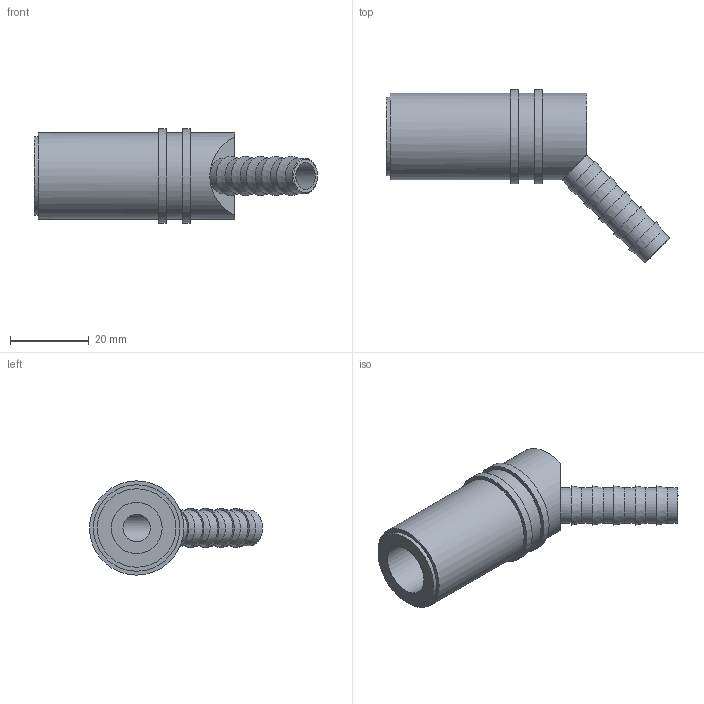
import cadquery as cq
import math

housing_radius = 11.0
housing_length = 51.0
lip_radius = 10.0
lip_length = 1.0
socket_radius = 6.5
socket_depth = 30.0
bore_radius = 3.5

elbow_x = 40.0
tail_angle = 45.0
tail_radius = 4.5
tail_end = 41.0
tip_chamfer = 0.2
barb_radius = 5.0
barb_count = 5

ring_radius = 12.0
ring_width = 1.9
ring_pitch = 6.1
first_ring_x = 31.6
ring_count = 2

tail_x = math.cos(math.radians(tail_angle))
tail_y = -math.sin(math.radians(tail_angle))
tail_base = (housing_radius - tail_radius * tail_x) / -tail_y

stretch = (tail_end - tail_base) / (2 * barb_count + 1)

tail_plane = cq.Plane(origin=(elbow_x, 0, 0), xDir=(tail_x, tail_y, 0), normal=(0, 0, 1))
tail_section = cq.Plane(origin=(elbow_x, 0, 0), xDir=(0, 0, 1), normal=(tail_x, tail_y, 0))


def x_cylinder(radius, start, end):
    """Cylinder on the housing axis between two X positions."""
    return cq.Workplane("YZ", origin=(start, 0, 0)).circle(radius).extrude(end - start)


def make_sleeve():
    """Stepped cylinder with one corner cut off square to the tail."""
    sleeve = x_cylinder(lip_radius, 0, lip_length)
    sleeve = sleeve.union(x_cylinder(housing_radius, lip_length, housing_length))
    corner = cq.Workplane(tail_section).workplane(offset=tail_base)
    corner = corner.rect(2 * housing_length, 2 * housing_length).extrude(housing_length)
    return sleeve.cut(corner)


def make_tail():
    """Revolved hose tail: each barb steps out square, then tapers toward the tip."""
    root = tail_base - stretch
    outline = cq.Workplane(tail_plane).moveTo(root, 0).lineTo(root, tail_radius)
    for index in range(barb_count):
        barb_start = tail_base + (2 * index + 1) * stretch
        outline = outline.lineTo(barb_start, tail_radius)
        outline = outline.lineTo(barb_start, barb_radius)
        outline = outline.lineTo(barb_start + stretch, tail_radius)
    outline = outline.lineTo(tail_end - tip_chamfer, tail_radius)
    outline = outline.lineTo(tail_end, tail_radius - tip_chamfer)
    outline = outline.lineTo(tail_end, 0).close()
    return outline.revolve(360, (0, 0, 0), (1, 0, 0))


def make_passage():
    """Socket and bore along the housing, mitred at the elbow into the bore of the tail."""
    straight = x_cylinder(bore_radius, 0, housing_length)
    angled = cq.Workplane(tail_section).workplane(offset=-tail_end)
    angled = angled.circle(bore_radius).extrude(2 * tail_end)

    half_angle = math.radians(tail_angle / 2)
    mitre = cq.Plane(
        origin=(elbow_x, 0, 0),
        xDir=(0, 0, 1),
        normal=(math.cos(half_angle), -math.sin(half_angle), 0),
    )
    reach = 2 * housing_length
    beyond = cq.Workplane(mitre).rect(2 * reach, 2 * reach).extrude(reach)
    elbow = straight.cut(beyond).union(angled.intersect(beyond))
    return elbow.union(x_cylinder(socket_radius, 0, socket_depth))


def make_ring(start):
    """Flat ring fitted around the housing."""
    ring = x_cylinder(ring_radius, start, start + ring_width)
    return ring.cut(x_cylinder(housing_radius, start, start + ring_width))


housing = make_sleeve().union(make_tail()).cut(make_passage())
rings = [make_ring(first_ring_x + index * ring_pitch) for index in range(ring_count)]

result = cq.Compound.makeCompound([housing.val(), *[ring.val() for ring in rings]])